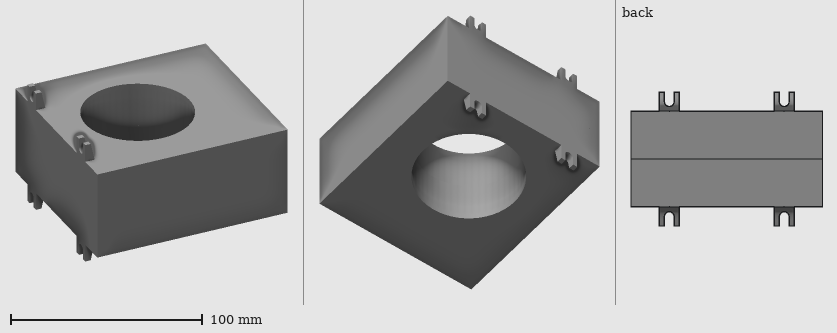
import cadquery as cq

WIDTH = 100.0
DEPTH = 110.0
PLATE_HEIGHT = 25.0
BORE_DIAMETER = 60.0
BORE_FROM_FRONT = 47.0

LUG_SPACING = 60.0
LUG_WIDTH = 10.5
LUG_HEIGHT = 10.0
LUG_BASE_THICKNESS = 5.4
LUG_TIP_THICKNESS = 3.2
SLOT_WIDTH = 5.0
SLOT_DEPTH = 7.5


def make_half(bottom):
    """One housing plate with its lower face at the given height."""
    plate = cq.Workplane("XY").box(WIDTH, DEPTH, PLATE_HEIGHT, centered=(True, False, False))
    bore = cq.Workplane("XY").center(0, BORE_FROM_FRONT).circle(BORE_DIAMETER / 2).extrude(PLATE_HEIGHT)
    return plate.cut(bore).translate((0, 0, bottom))


def make_lug(x):
    """An upper lug centred on x: a tapered tab with a round-bottomed slot open at its tip."""
    tab = (
        cq.Workplane("YZ")
        .polyline([(0, 0), (LUG_BASE_THICKNESS, 0), (LUG_TIP_THICKNESS, LUG_HEIGHT), (0, LUG_HEIGHT)])
        .close()
        .extrude(LUG_WIDTH / 2, both=True)
    )
    half_slot = SLOT_WIDTH / 2
    slot_bottom = LUG_HEIGHT - SLOT_DEPTH
    arc_start = slot_bottom + half_slot
    slot = (
        cq.Workplane("XZ")
        .moveTo(-half_slot, LUG_HEIGHT)
        .lineTo(-half_slot, arc_start)
        .threePointArc((0, slot_bottom), (half_slot, arc_start))
        .lineTo(half_slot, LUG_HEIGHT)
        .close()
        .extrude(-LUG_BASE_THICKNESS)
    )
    return tab.cut(slot).translate((x, 0, PLATE_HEIGHT))


lower_half = make_half(-PLATE_HEIGHT)
upper_half = make_half(0)

lugs = []
for lug_x in (-LUG_SPACING / 2, LUG_SPACING / 2):
    upper_lug = make_lug(lug_x)
    lower_lug = upper_lug.mirror("XY")
    lugs.extend([upper_lug.val(), lower_lug.val()])

result = cq.Compound.makeCompound([lower_half.val(), upper_half.val(), *lugs])